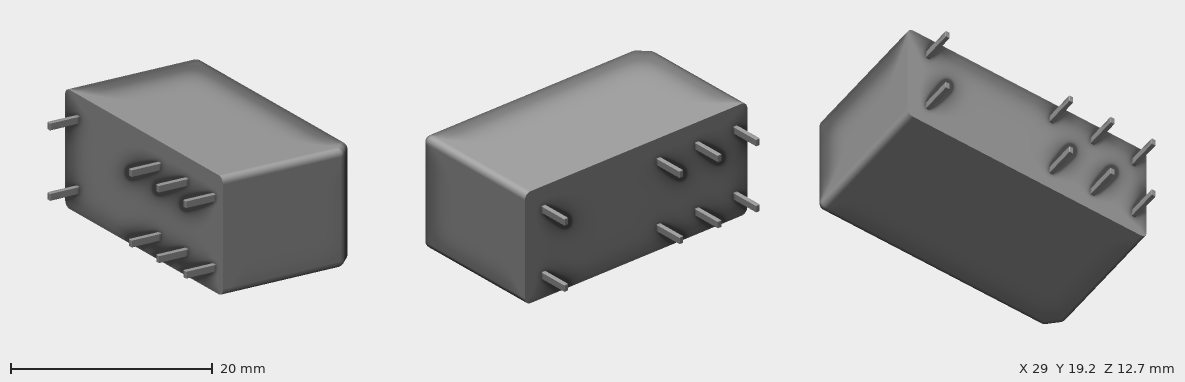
import cadquery as cq

body_length = 29.0
body_depth = 15.7
body_height = 12.7
corner_chamfer = 1.5
edge_radius = 0.75

pin_length = 3.5
pin_width = 0.5
pin_height = 0.8
pin_edge_chamfer = 0.05
pin_embed = 0.5
row_spacing = 7.5
first_pin_inset = 2.42
pin_pitch = 5.0
pin_steps = (0, 3, 4, 5)


def make_housing():
    """Block with one chamfered back corner and every edge off the pin face rounded."""
    block = cq.Workplane("XY").box(
        body_length, body_depth, body_height, centered=(True, False, True)
    )
    block = block.edges(">X and >Y").chamfer(corner_chamfer)
    return block.edges("not <Y").fillet(edge_radius)


def make_pin(x, z):
    """Rectangular pin with bevelled long edges and tip, rooted inside the housing."""
    pin = cq.Workplane("XY").box(
        pin_width, pin_length + pin_embed, pin_height, centered=(True, False, True)
    )
    pin = pin.edges("|Y or <Y").chamfer(pin_edge_chamfer)
    return pin.translate((x, -pin_length, z))


first_pin_x = first_pin_inset - body_length / 2

result = make_housing()
for step in pin_steps:
    for row_z in (-row_spacing / 2, row_spacing / 2):
        result = result.union(make_pin(first_pin_x + step * pin_pitch, row_z))